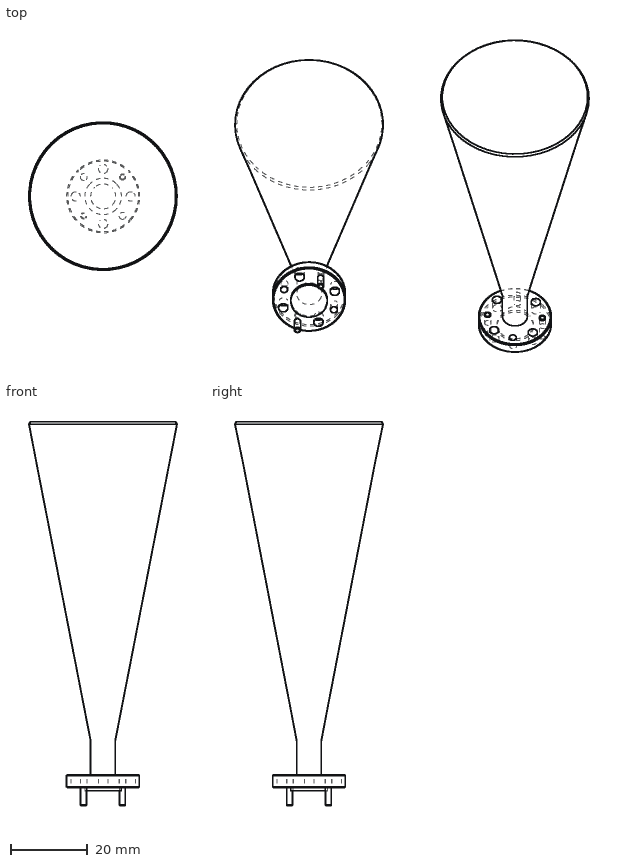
import cadquery as cq
import math

TOTAL_HEIGHT = 100.4
BOSS_BOTTOM = 3.9
FLANGE_BOTTOM = 4.7
FLANGE_THICKNESS = 3.4
FLANGE_TOP = FLANGE_BOTTOM + FLANGE_THICKNESS
NECK_TOP = 17.1

BOSS_RADIUS = 9.5 / 2
FLANGE_RADIUS = 19.1 / 2
NECK_RADIUS = 6.5 / 2
RIM_RADIUS = 38.8 / 2

FLANGE_CHAMFER = 0.3
RIM_CHAMFER_HEIGHT = 0.7
RIM_CHAMFER_WIDTH = 0.4
PIN_CHAMFER = 0.2

HOLE_CIRCLE_RADIUS = 7.18
SCREW_HOLE_DIAMETER = 2.4
GUIDE_HOLE_DIAMETER = 1.8
PIN_DIAMETER = 1.6
SCREW_ANGLES = [0, 90, 180, 270]
PIN_ANGLES = [45, 225]
GUIDE_ANGLES = [135, 315]


def circle_point(angle):
    """Point on the flange hole circle, angle in degrees from +X."""
    turn = math.radians(angle)
    return HOLE_CIRCLE_RADIUS * math.cos(turn), HOLE_CIRCLE_RADIUS * math.sin(turn)


def make_horn_blank():
    """Boss, flange, neck and cone turned about Z."""
    return (
        cq.Workplane("XZ")
        .moveTo(0, BOSS_BOTTOM)
        .lineTo(BOSS_RADIUS, BOSS_BOTTOM)
        .lineTo(BOSS_RADIUS, FLANGE_BOTTOM)
        .lineTo(FLANGE_RADIUS - FLANGE_CHAMFER, FLANGE_BOTTOM)
        .lineTo(FLANGE_RADIUS, FLANGE_BOTTOM + FLANGE_CHAMFER)
        .lineTo(FLANGE_RADIUS, FLANGE_TOP - FLANGE_CHAMFER)
        .lineTo(FLANGE_RADIUS - FLANGE_CHAMFER, FLANGE_TOP)
        .lineTo(NECK_RADIUS, FLANGE_TOP)
        .lineTo(NECK_RADIUS, NECK_TOP)
        .lineTo(RIM_RADIUS, TOTAL_HEIGHT - RIM_CHAMFER_HEIGHT)
        .lineTo(RIM_RADIUS - RIM_CHAMFER_WIDTH, TOTAL_HEIGHT)
        .lineTo(0, TOTAL_HEIGHT)
        .close()
        .revolve(360, (0, 0, 0), (0, 1, 0))
    )


def flange_holes(angles, diameter):
    """Cutters that pass through the full flange thickness."""
    return (
        cq.Workplane("XY", origin=(0, 0, FLANGE_BOTTOM))
        .pushPoints([circle_point(angle) for angle in angles])
        .circle(diameter / 2)
        .extrude(FLANGE_THICKNESS)
    )


def make_horn():
    """Horn with screw holes, guide holes and the seats of the pins."""
    return (
        make_horn_blank()
        .cut(flange_holes(SCREW_ANGLES, SCREW_HOLE_DIAMETER))
        .cut(flange_holes(GUIDE_ANGLES, GUIDE_HOLE_DIAMETER))
        .cut(flange_holes(PIN_ANGLES, PIN_DIAMETER))
    )


def make_pin(angle):
    """Alignment pin, flush with the flange top and chamfered at both ends."""
    x, y = circle_point(angle)
    return (
        cq.Workplane("XY", origin=(x, y, 0))
        .circle(PIN_DIAMETER / 2)
        .extrude(FLANGE_TOP)
        .faces("<Z or >Z")
        .chamfer(PIN_CHAMFER)
    )


horn = make_horn()
pins = [make_pin(angle) for angle in PIN_ANGLES]

result = cq.Compound.makeCompound([horn.val(), *[pin.val() for pin in pins]])